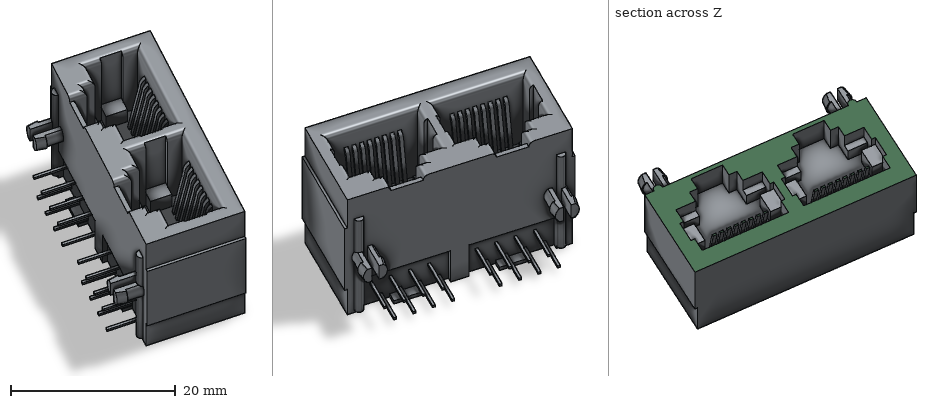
import cadquery as cq


body_width = 29.75
body_depth = 12.98
body_height = 20.5
overall_width = 30.48
plate_bottom = 4.5
plate_top = 15.48

port_pitch = 13.95
port_centers = (-port_pitch / 2, port_pitch / 2)
main_half_width = 5.9
main_front = 3.78
main_back = 10.5
main_flare = 0.82
step_half_width = 3.23
step_front = 2.25
step_flare = 0.73
latch_half_width = 2.13
latch_flare = 0.8
cavity_floor = 8.53
front_wall = 0.6
latch_notch_depth = 0.8

light_inner = 4.5
light_outer = 6.43
light_front = 5.75
light_back = 8.55
light_top = 10.97
stop_back = 4.72
stop_top = 10.35

contact_count = 8
contact_pitch = 1.0
contact_width = 0.52
contact_thickness = 0.3
contact_top = 17.68
contact_bend_end = (9.75, 16.15)
contact_tip_y = 8.3

rib_radius = 0.6
rib_x = 13.35
rib_bottom = 0.43
rib_top = 16.73
recess_inner = 1.22
recess_outer = rib_x - rib_radius
recess_height = 5.58
recess_depth = 0.67
key_half_width = 2.0
key_height = 0.58
key_reach = rib_radius
pin_count = 8
pin_pitch = 1.28
pin_size = 0.37
pin_rows = (3.63, 1.07)
pin_reach = 3.78

peg_x = 12.68
peg_z = 9.95
peg_radius = 1.6
peg_barb_radius = 1.77
peg_barb_start = 2.2
peg_reach = 3.55
peg_half_slot = 0.5
peg_half_height = 1.2


def block(x0, x1, y0, y1, z0, z1):
    """Box between two opposite corners, given in either order."""
    size = (abs(x1 - x0), abs(y1 - y0), abs(z1 - z0))
    center = ((x0 + x1) / 2, (y0 + y1) / 2, (z0 + z1) / 2)
    return cq.Workplane("XY").box(*size).translate(center)


def flared_profile(plane, low, high, flare):
    """Slot outline from the cavity floor to the mouth, with rounded-over mouth edges."""
    bulge = flare * (1 - 0.5 ** 0.5)
    shoulder = body_height - flare
    return (
        plane.moveTo(low, cavity_floor)
        .lineTo(high, cavity_floor)
        .lineTo(high, shoulder)
        .threePointArc((high + bulge, body_height - bulge), (high + flare, body_height))
        .lineTo(low - flare, body_height)
        .threePointArc((low - bulge, body_height - bulge), (low, shoulder))
        .close()
    )


def flared_pocket(half_width, front, back, flare):
    """Rectangular pocket with mitred, rounded-over mouth edges."""
    across = flared_profile(cq.Workplane("XZ"), -half_width, half_width, flare)
    along = flared_profile(cq.Workplane("YZ"), front, back, flare)
    return across.extrude(body_depth, both=True).intersect(along.extrude(body_width, both=True))


def latch_slot():
    """Latch slot behind the front wall, plus the shallow notch through the wall."""
    profile = flared_profile(cq.Workplane("XZ"), -latch_half_width, latch_half_width, latch_flare)
    slot = profile.extrude(-main_front)
    below_notch = block(
        -body_width, body_width, 0, front_wall, cavity_floor, body_height - latch_notch_depth
    )
    return slot.cut(below_notch)


def cavity():
    """Complete plug opening of one port, centred on X = 0."""
    opening = flared_pocket(main_half_width, main_front, main_back, main_flare)
    opening = opening.union(flared_pocket(step_half_width, step_front, main_back - main_flare, step_flare))
    opening = opening.union(latch_slot())
    for side in (-1, 1):
        inner_x = side * light_inner
        outer_x = side * light_outer
        opening = opening.union(block(inner_x, outer_x, light_front, light_back, light_top, body_height))
        opening = opening.cut(block(inner_x, outer_x, light_front, light_back, cavity_floor, light_top))
        step_x = side * step_half_width
        wall_x = side * main_half_width
        opening = opening.cut(block(step_x, wall_x, main_front, stop_back, cavity_floor, stop_top))
    return opening


def contact(x):
    """Spring contact that leaves the back wall, bends over and slopes down to the floor."""
    bend_y, bend_z = contact_bend_end
    bend_middle = ((main_back + 2 * bend_y) / 3, (2 * contact_top + bend_z) / 3)
    strip = (
        cq.Workplane("YZ")
        .moveTo(main_back, contact_top)
        .threePointArc(bend_middle, contact_bend_end)
        .lineTo(contact_tip_y, cavity_floor)
        .lineTo(contact_tip_y + contact_thickness, cavity_floor)
        .lineTo(bend_y + contact_thickness, bend_z)
        .lineTo(main_back, contact_top - 2 * contact_thickness)
        .close()
        .extrude(contact_width / 2, both=True)
    )
    return strip.translate((x, 0, 0))


def pin(x, z):
    """Square solder pin that starts at the recess floor."""
    half = pin_size / 2
    return block(x - half, x + half, -pin_reach, recess_depth, z - half, z + half)


def rib(x):
    """Half-round standoff rib on the mounting face."""
    rod = cq.Workplane("XY").circle(rib_radius).extrude(rib_top - rib_bottom)
    front_half = block(-rib_radius, rib_radius, -rib_radius, 0, 0, rib_top)
    return rod.intersect(front_half).translate((x, 0, rib_bottom))


def peg(x):
    """Round split peg with a tapered barb and flat top and bottom."""
    turned = (
        cq.Workplane("XY")
        .polyline([
            (0, 0),
            (peg_radius, 0),
            (peg_radius, -peg_barb_start),
            (peg_barb_radius, -peg_barb_start),
            (peg_radius, -peg_reach),
            (0, -peg_reach),
        ])
        .close()
        .revolve(360, (0, 0), (0, 1))
    )
    flats = block(-peg_barb_radius, peg_barb_radius, -peg_reach, 0, -peg_half_height, peg_half_height)
    slot = block(-peg_half_slot, peg_half_slot, -peg_reach, 0, -peg_barb_radius, peg_barb_radius)
    return turned.intersect(flats).cut(slot).translate((x, 0, peg_z))


housing = block(-body_width / 2, body_width / 2, 0, body_depth, 0, body_height)
housing = housing.union(
    block(-overall_width / 2, overall_width / 2, 0, body_depth, plate_bottom, plate_top)
)

for side in (-1, 1):
    housing = housing.cut(
        block(side * recess_inner, side * recess_outer, 0, recess_depth, 0, recess_height)
    )
    housing = housing.union(rib(side * rib_x))
    housing = housing.union(peg(side * peg_x))

for center in port_centers:
    housing = housing.cut(cavity().translate((center, 0, 0)))
    for index in range(contact_count):
        offset = (index - (contact_count - 1) / 2) * contact_pitch
        housing = housing.union(contact(center + offset))
    for index in range(pin_count):
        offset = (index - (pin_count - 1) / 2) * pin_pitch
        housing = housing.union(pin(center + offset, pin_rows[index % 2]))
    housing = housing.union(
        block(center - key_half_width, center + key_half_width, -key_reach, recess_depth, 0, key_height)
    )

result = housing